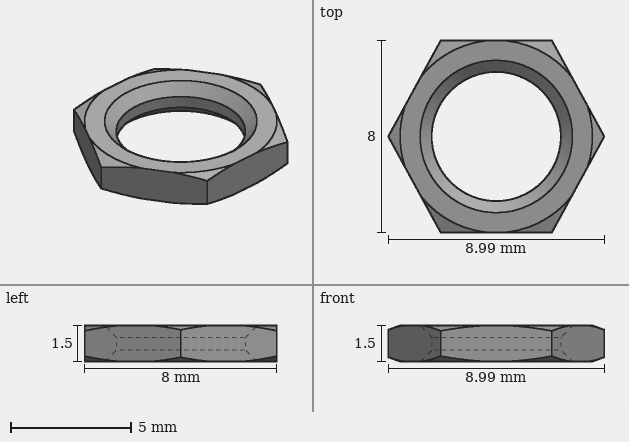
import cadquery as cq
import math

corner_width = 8.99
flat_width = 8.0
thickness = 1.5
bore_diameter = 5.37
countersink_diameter = 6.34
countersink_angle = 45.0
crown_angle = 20.0

corner_x = corner_width / 2
flat_y = flat_width / 2
flat_end_x = flat_y * math.tan(math.radians(30))
bore_radius = bore_diameter / 2
countersink_radius = countersink_diameter / 2
countersink_depth = (countersink_radius - bore_radius) * math.tan(math.radians(countersink_angle))


def hexagonal_body():
    """Prism with two flats facing +Y and -Y; its side corners are slightly drawn in."""
    corners = [
        (corner_x, 0),
        (flat_end_x, flat_y),
        (-flat_end_x, flat_y),
        (-corner_x, 0),
        (-flat_end_x, -flat_y),
        (flat_end_x, -flat_y),
    ]
    return cq.Workplane("XY").polyline(corners).close().extrude(thickness)


def turned_envelope():
    """Bored ring with a conical crown outside and a countersink inside at both ends."""
    crown_radius = flat_y
    crown_drop = thickness / 2
    outer_radius = crown_radius + crown_drop / math.tan(math.radians(crown_angle))
    profile = [
        (bore_radius, countersink_depth),
        (countersink_radius, 0),
        (crown_radius, 0),
        (outer_radius, crown_drop),
        (crown_radius, thickness),
        (countersink_radius, thickness),
        (bore_radius, thickness - countersink_depth),
    ]
    return cq.Workplane("XZ").polyline(profile).close().revolve(360, (0, 0, 0), (0, 1, 0))


result = hexagonal_body().intersect(turned_envelope())